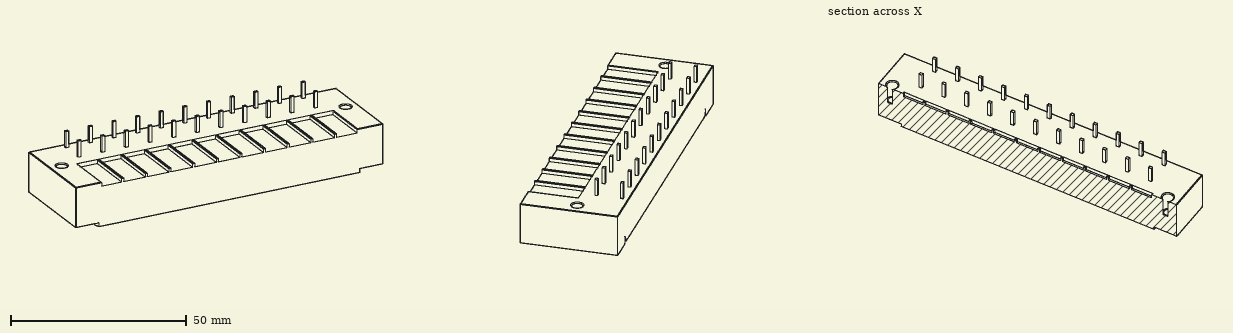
import cadquery as cq
import math

BLOCK_X = 29.0
BLOCK_Y = 99.06
BLOCK_Z = 12.5
EDGE_CHAMFER = 0.2

PITCH = 7.62
CELL_COUNT = 11
PIN_ROW_CENTRE_Y = -0.2
CELL_ROW_CENTRE_Y = -0.1

PIN_X = 0.8
PIN_Y = 1.0
PIN_HEIGHT = 5.0
PIN_ROOT = 1.0
PIN_FIRST_ROW_X = 1.95
PIN_ROWS_X = (PIN_FIRST_ROW_X, PIN_FIRST_ROW_X + PITCH)

CELL_START_X = 14.0
CELL_DEPTH = 1.25
CELLS_Y = 82.3
RIB_WIDTH = 0.7

HOLE_X = 13.1
HOLE_SPACING_Y = 91.5
HOLE_DIAMETER = 2.4
BORE_DIAMETER = 3.2
BORE_DEPTH = 6.0
MOUTH_CHAMFER = 0.3

STRIP_Y = 84.0
STRIP_START_X = 10.1
STRIP_DROP = 0.3
STEP_X = 13.5
STEP_DROP = 0.9
LIP_X = 26.0
LIP_DROP = 1.79
LIP_EDGE_DROP = 1.2

RELIEF_Y = 83.4
RELIEF_DEPTH = 1.0
RELIEF_HEIGHT = 0.3
RELIEF_END_HEIGHT = 2.3
RELIEF_END_ANGLE = 60.0


def row_positions(centre_y):
    """Y positions of one row of pins or cells about the given centre."""
    return [centre_y + (i - (CELL_COUNT - 1) / 2) * PITCH for i in range(CELL_COUNT)]


def main_block():
    """Block with chamfers around the top face and on the two upright edges at +X."""
    block = cq.Workplane("XY").box(BLOCK_X, BLOCK_Y, BLOCK_Z, centered=(False, True, False))
    block = block.edges("|Z and >X").chamfer(EDGE_CHAMFER)
    return block.faces(">Z").edges().chamfer(EDGE_CHAMFER)


def relief_cells():
    """Cutters for the cells; the walls between neighbours form ribs with chamfered tops."""
    floor_z = BLOCK_Z - CELL_DEPTH
    chamfer_z = BLOCK_Z - EDGE_CHAMFER
    cells = cq.Workplane("YZ", origin=(CELL_START_X, 0, 0))
    for index, y in enumerate(row_positions(CELL_ROW_CENTRE_Y)):
        low_y = y - (PITCH - RIB_WIDTH) / 2
        high_y = y + (PITCH - RIB_WIDTH) / 2
        if index == 0:
            low_y = -CELLS_Y / 2
        if index == CELL_COUNT - 1:
            high_y = CELLS_Y / 2
        cells = (
            cells.moveTo(low_y, floor_z)
            .lineTo(high_y, floor_z)
            .lineTo(high_y, chamfer_z)
            .lineTo(high_y + EDGE_CHAMFER, BLOCK_Z)
            .lineTo(low_y - EDGE_CHAMFER, BLOCK_Z)
            .lineTo(low_y, chamfer_z)
            .close()
        )
    return cells.extrude(BLOCK_X - CELL_START_X)


def pins():
    """Two rows of rectangular pins."""
    points = [(x, y) for x in PIN_ROWS_X for y in row_positions(PIN_ROW_CENTRE_Y)]
    return (
        cq.Workplane("XY", origin=(0, 0, BLOCK_Z - PIN_ROOT))
        .pushPoints(points)
        .rect(PIN_X, PIN_Y)
        .extrude(PIN_ROOT + PIN_HEIGHT)
    )


def mounting_holes():
    """Cutters for the two screw holes, each turned from a half section about its axis."""
    hole_radius = HOLE_DIAMETER / 2
    bore_radius = BORE_DIAMETER / 2
    bore_floor_z = BLOCK_Z - BORE_DEPTH
    half_section = (
        cq.Workplane("XZ")
        .lineTo(hole_radius, 0)
        .lineTo(hole_radius, bore_floor_z)
        .lineTo(bore_radius, bore_floor_z)
        .lineTo(bore_radius, BLOCK_Z - MOUTH_CHAMFER)
        .lineTo(bore_radius + MOUTH_CHAMFER, BLOCK_Z)
        .lineTo(0, BLOCK_Z)
        .close()
    )
    cutter = half_section.revolve(360, (0, 0, 0), (0, 1, 0))
    lower_hole = cutter.translate((HOLE_X, -HOLE_SPACING_Y / 2, 0))
    upper_hole = cutter.translate((HOLE_X, HOLE_SPACING_Y / 2, 0))
    return lower_hole.union(upper_hole)


def bottom_strip():
    """Stepped strip with a sloping lip, extruded along Y."""
    return (
        cq.Workplane("XZ", origin=(0, STRIP_Y / 2, 0))
        .moveTo(STRIP_START_X, 0)
        .lineTo(STRIP_START_X, -STRIP_DROP)
        .lineTo(STEP_X, -STRIP_DROP)
        .lineTo(STEP_X, -STEP_DROP)
        .lineTo(LIP_X, -STEP_DROP)
        .lineTo(LIP_X, -LIP_DROP)
        .lineTo(BLOCK_X, -LIP_EDGE_DROP)
        .lineTo(BLOCK_X, 0)
        .close()
        .extrude(STRIP_Y)
    )


def wall_relief():
    """Cutter for the relief, its ends rising along a slope to the full end height."""
    half = RELIEF_Y / 2
    rise = RELIEF_END_HEIGHT - RELIEF_HEIGHT
    end_length = rise / math.tan(math.radians(RELIEF_END_ANGLE))
    return (
        cq.Workplane("YZ")
        .moveTo(-half, 0)
        .lineTo(-half, RELIEF_END_HEIGHT)
        .lineTo(-half + end_length, RELIEF_HEIGHT)
        .lineTo(half - end_length, RELIEF_HEIGHT)
        .lineTo(half, RELIEF_END_HEIGHT)
        .lineTo(half, 0)
        .close()
        .extrude(RELIEF_DEPTH)
    )


body = main_block().cut(relief_cells()).cut(wall_relief())
body = body.union(bottom_strip()).union(pins())
result = body.cut(mounting_holes())